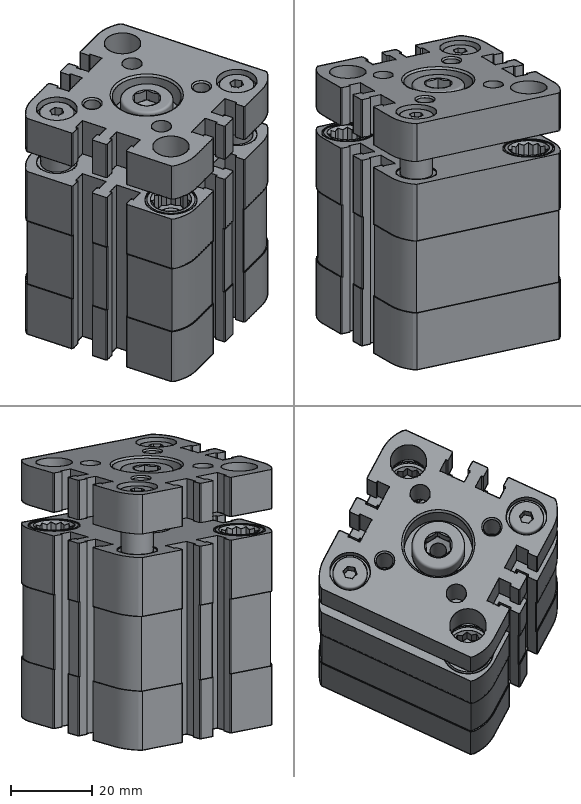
import cadquery as cq
import math

width = 47.0
half_width = width / 2
total_height = 65.0
plate_thickness = 10.0
housing_height = 49.0
plate_bottom = total_height - plate_thickness
cap_height = 15.0
barrel_inset = 0.25

corner_arc_start = 16.25
corner_arc_radius = 11.0
corner_arc_end = 22.95
corner_nose_x = 20.55

slot_center = 4.9
slot_depth = 6.0
slot_lip = 2.65
slot_mouth_width = 5.45
slot_inner_width = 6.7
slot_edge_chamfer = 0.25
slot_side_angles = (0, 90, -90)

corner_pitch = 16.25
rod_corners = [(-corner_pitch, -corner_pitch), (corner_pitch, corner_pitch)]
screw_corners = [(-corner_pitch, corner_pitch), (corner_pitch, -corner_pitch)]
guide_rod_diameter = 8.0
rod_engagement = cap_height
guide_recess_diameter = 10.0
guide_recess_depth = 0.3

screw_bore_diameter = 12.8
screw_face_diameter = 11.9
screw_groove_depth = 0.3
socket_mouth_diameter = 10.2
socket_valley_diameter = 8.5
socket_point_count = 12
socket_depth = 4.7
screw_hole_diameter = 5.0
screw_countersink_diameter = 6.0

piston_rod_diameter = 12.0
rod_flat_width = 10.0
flat_gap = 1.3
flat_ledge_width = 10.8
flat_slope_drop = 0.9
rod_head_diameter = 13.0
rod_head_drop = 0.9
rod_head_fillet = 0.65
rod_hex_size = 6.0
rod_hex_mouth_diameter = 6.9
rod_hex_depth = 3.0
rod_thread_diameter = 4.0
rod_thread_depth = 13.0
drill_half_angle = 59

well_diameter = 17.0
well_rim_diameter = 18.1
well_depth = 6.0
access_hole_diameter = 9.0
mount_offset = 9.9
plain_hole_diameter = 4.95
thread_hole_diameter = 4.15
thread_rim_diameter = 5.0
screw_head_bore = 10.0
screw_head_bore_depth = 2.0
screw_head_diameter = 8.5
screw_head_fillet = 0.4
screw_head_drop = 0.8
screw_hex_size = 3.0
screw_hex_depth = 2.6


def cylinder(diameter, bottom, top, x=0, y=0):
    """Upright cylinder between two heights."""
    return cq.Workplane("XY", origin=(x, y, bottom)).circle(diameter / 2).extrude(top - bottom)


def cone(bottom_diameter, top_diameter, bottom, top, x=0, y=0):
    """Upright cone; a zero bottom diameter gives a pointed tip."""
    solid = cq.Solid.makeCone(bottom_diameter / 2, top_diameter / 2, top - bottom, cq.Vector(x, y, bottom))
    return cq.Workplane(obj=solid)


def hexagon(across_flats, bottom, top, x=0, y=0, turn=0):
    """Upright hexagonal prism, its corners on the X axis turned by an angle."""
    corner_diameter = across_flats / math.cos(math.pi / 6)
    prism = cq.Workplane("XY").polygon(6, corner_diameter).extrude(top - bottom)
    return prism.rotate((0, 0, 0), (0, 0, 1), turn).translate((x, y, bottom))


def rounded_block(bottom, top, inset):
    """Square block whose corners are a long arc ending in a short flat nose."""
    side = half_width - inset
    arc_sagitta_at_end = corner_arc_radius - math.sqrt(
        corner_arc_radius**2 - (corner_arc_end - corner_arc_start) ** 2
    )
    arc_mid_rise = (corner_arc_end - corner_arc_start) / 2
    arc_mid_sagitta = corner_arc_radius - math.sqrt(corner_arc_radius**2 - arc_mid_rise**2)
    arc_end = (side - arc_sagitta_at_end, corner_arc_end - inset)
    arc_mid = (side - arc_mid_sagitta, corner_arc_start + arc_mid_rise - inset / 2)
    quarter = (
        cq.Workplane("XY", origin=(0, 0, bottom))
        .lineTo(side, 0)
        .lineTo(side, corner_arc_start)
        .threePointArc(arc_mid, arc_end)
        .lineTo(corner_nose_x, side)
        .lineTo(0, side)
        .close()
        .extrude(top - bottom)
    )
    half = quarter.union(quarter.mirror("YZ"))
    return half.union(half.mirror("XZ")).clean()


def t_slot(bottom, top, inset):
    """T-slot that opens through the -Y side, centred on X = 0."""
    face = -half_width + inset
    lip = -half_width + slot_lip
    floor = -half_width + slot_depth
    mouth = slot_mouth_width / 2
    inner = slot_inner_width / 2
    right = [
        (mouth + slot_edge_chamfer, face),
        (mouth, face + slot_edge_chamfer),
        (mouth, lip),
        (inner, lip),
        (inner, floor),
    ]
    left = [(-x, y) for x, y in reversed(right)]
    return cq.Workplane("XY", origin=(0, 0, bottom)).polyline(right + left).close().extrude(top - bottom)


def profile_block(bottom, top, inset=0.0):
    """Rounded block with a pair of T-slots on the -Y, +X and -X sides."""
    block = rounded_block(bottom, top, inset)
    slot = t_slot(bottom, top, inset)
    for side_angle in slot_side_angles:
        for offset in (-slot_center, slot_center):
            block = block.cut(slot.translate((offset, 0, 0)).rotate((0, 0, 0), (0, 0, 1), side_angle))
    return block


def corner_screw_cut(x, y):
    """Space removed by a corner screw: ring groove, twelve-point socket and through hole."""
    top = housing_height
    ring = cylinder(screw_bore_diameter, top - screw_groove_depth, top, x, y)
    ring = ring.cut(cone(screw_bore_diameter, screw_face_diameter, top - screw_groove_depth, top, x, y))

    socket_floor = top - socket_depth
    across_flats = socket_valley_diameter * math.cos(math.pi / socket_point_count)
    socket = hexagon(across_flats, socket_floor, top, x, y)
    socket = socket.union(hexagon(across_flats, socket_floor, top, x, y, turn=360 / socket_point_count))
    mouth_depth = (socket_mouth_diameter - socket_valley_diameter) / 2
    mouth = cone(socket_valley_diameter, socket_mouth_diameter, top - mouth_depth, top, x, y)

    countersink_depth = (screw_countersink_diameter - screw_hole_diameter) / 2
    countersink = cone(
        screw_hole_diameter, screw_countersink_diameter, socket_floor - countersink_depth, socket_floor, x, y
    )
    hole = cylinder(screw_hole_diameter, 0, socket_floor, x, y)
    return ring.union(socket).union(mouth).union(countersink).union(hole)


def make_housing():
    barrel_top = housing_height - cap_height
    body = profile_block(0, cap_height)
    body = body.union(profile_block(cap_height, barrel_top, barrel_inset))
    body = body.union(profile_block(barrel_top, housing_height))
    rod_floor = housing_height - rod_engagement
    body = body.cut(cylinder(piston_rod_diameter, rod_floor, housing_height))
    for x, y in rod_corners:
        body = body.cut(cylinder(guide_rod_diameter, rod_floor, housing_height, x, y))
        body = body.cut(
            cylinder(guide_recess_diameter, housing_height - guide_recess_depth, housing_height, x, y)
        )
    for x, y in screw_corners:
        body = body.cut(corner_screw_cut(x, y))
    return body


def flat_cut():
    """Wrench flat on the +Y side of the piston rod, with a ledge and a slope at its lower end."""
    ledge = housing_height + flat_gap
    outside = piston_rod_diameter / 2
    return (
        cq.Workplane("YZ", origin=(-outside, 0, 0))
        .moveTo(rod_flat_width / 2, plate_bottom)
        .lineTo(rod_flat_width / 2, ledge)
        .lineTo(flat_ledge_width / 2, ledge)
        .lineTo(outside, ledge - flat_slope_drop)
        .lineTo(outside, plate_bottom)
        .close()
        .extrude(piston_rod_diameter)
    )


def rod_head_socket(head_top):
    """Hexagon socket with a chamfered mouth above a drilled thread hole."""
    drill_slope = math.tan(math.radians(drill_half_angle))
    mouth_depth = (rod_hex_mouth_diameter - rod_hex_size) / 2 / drill_slope
    hex_floor = head_top - rod_hex_depth
    thread_floor = head_top - rod_thread_depth
    hex_corner_diameter = rod_hex_size / math.cos(math.pi / 6)
    taper_depth = (hex_corner_diameter - rod_thread_diameter) / 2 / drill_slope
    tip_depth = rod_thread_diameter / 2 / drill_slope

    socket = hexagon(rod_hex_size, hex_floor, head_top)
    socket = socket.union(cone(rod_hex_size, rod_hex_mouth_diameter, head_top - mouth_depth, head_top))
    socket = socket.union(cone(rod_thread_diameter, hex_corner_diameter, hex_floor - taper_depth, hex_floor))
    socket = socket.union(cylinder(rod_thread_diameter, thread_floor, hex_floor))
    return socket.union(cone(0, rod_thread_diameter, thread_floor - tip_depth, thread_floor))


def make_piston_rod():
    rod = cylinder(piston_rod_diameter, housing_height - rod_engagement, plate_bottom)
    flat = flat_cut()
    return rod.cut(flat).cut(flat.mirror("XZ"))


def make_plate():
    top = total_height
    plate = profile_block(plate_bottom, top)

    rim_depth = (well_rim_diameter - well_diameter) / 2
    plate = plate.cut(cylinder(well_diameter, top - well_depth, top))
    plate = plate.cut(cone(well_diameter, well_rim_diameter, top - rim_depth, top))

    for x, y in screw_corners:
        plate = plate.cut(cylinder(access_hole_diameter, plate_bottom, top, x, y))

    thread_rim_depth = (thread_rim_diameter - thread_hole_diameter) / 2
    for side in (-1, 1):
        plain_x = side * mount_offset
        plate = plate.cut(cylinder(plain_hole_diameter, plate_bottom, top, plain_x, -plain_x))
        plate = plate.cut(cylinder(thread_hole_diameter, plate_bottom, top, plain_x, plain_x))
        plate = plate.cut(
            cone(thread_hole_diameter, thread_rim_diameter, top - thread_rim_depth, top, plain_x, plain_x)
        )

    for x, y in rod_corners:
        plate = plate.cut(cylinder(screw_head_bore, top - screw_head_bore_depth, top, x, y))
    return plate


def make_screw_head(x, y):
    """Round-edged screw head sunk in the plate above a guide rod."""
    bore_floor = total_height - screw_head_bore_depth
    head = cylinder(screw_head_diameter, bore_floor, total_height - screw_head_drop, x, y)
    return head.faces(">Z").edges().fillet(screw_head_fillet)


def screw_socket(x, y):
    """Hexagon socket in a screw head."""
    head_top = total_height - screw_head_drop
    return hexagon(screw_hex_size, head_top - screw_hex_depth, head_top, x, y, turn=-45)


def make_moving_unit():
    """Plate, piston rod and guide rods, which move together as one body."""
    unit = make_plate().union(make_piston_rod())
    head_top = total_height - rod_head_drop
    head = cylinder(rod_head_diameter, total_height - well_depth, head_top)
    unit = unit.union(head.faces(">Z").edges().fillet(rod_head_fillet))
    unit = unit.cut(rod_head_socket(head_top))
    rod_floor = housing_height - rod_engagement
    for x, y in rod_corners:
        unit = unit.union(cylinder(guide_rod_diameter, rod_floor, plate_bottom, x, y))
        unit = unit.union(make_screw_head(x, y))
        unit = unit.cut(screw_socket(x, y))
    return unit


housing = make_housing()
moving_unit = make_moving_unit()

result = cq.Compound.makeCompound([housing.val(), moving_unit.val()])